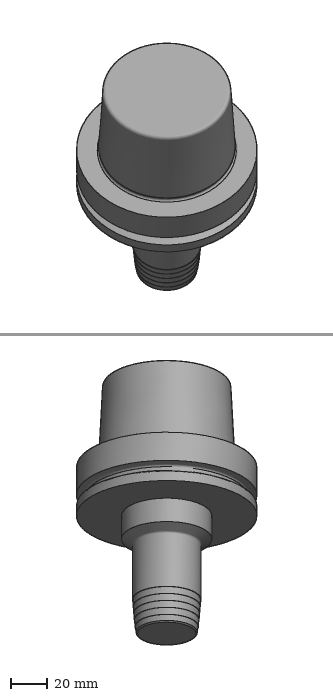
import cadquery as cq

total_height = 149.9
flange_top = 100.0
flange_bottom = 70.9
groove_upper_edge = 83.0
groove_upper_floor = 81.8
groove_lower_floor = 78.1
groove_lower_edge = 76.7
collar_bottom = 56.8
shank_top = 53.0
tip_top = 20.4

flange_diameter = 100.0
flange_radius = flange_diameter / 2
groove_radius = 45.7
groove_fillet = 1.0
collar_radius = flange_radius / 2
shank_radius = 19.0
shank_fillet = 1.0

tip_ring_radii = [18.7, 18.5, 18.1, 17.8, 17.4]
tip_ring_pitch = 4.0
tip_ring_step = 0.1
tip_bottom_radius = 17.0
end_chamfer = 0.7

taper_base = 102.5
taper_base_radius = 37.9
taper_top_radius = 35.5
rim_radius = 2.0

neck_radius = 37.5
neck_taper = taper_base_radius - neck_radius
neck_top = taper_base - 2 * neck_taper
relief_floor = flange_top - 0.3
relief_fillet = 1.0
relief_floor_radius = neck_radius + relief_fillet
relief_rim_radius = 39.5


def revolve_outline(outline):
    """Turn a closed (radius, height) outline about the Z axis."""
    return cq.Workplane("XZ").polyline(outline).close().revolve(360, (0, 0), (0, 1))


def tapered_tip():
    """Shank tip of slightly conical rings, each stepped in from the one above, with a chamfered end."""
    outline = [(0, tip_top)]
    for ring, radius in enumerate(tip_ring_radii):
        ring_top = tip_top - ring * tip_ring_pitch
        if ring > 0:
            outline.append((radius + tip_ring_step, ring_top))
        outline.append((radius, ring_top))
    outline += [
        (tip_bottom_radius, end_chamfer),
        (tip_bottom_radius - end_chamfer, 0),
        (0, 0),
    ]
    return revolve_outline(outline)


def shank_and_collar():
    """Straight shank, filleted into a conical shoulder under the collar."""
    body = revolve_outline([
        (0, tip_top),
        (shank_radius, tip_top),
        (shank_radius, shank_top),
        (collar_radius, collar_bottom),
        (collar_radius, flange_bottom),
        (0, flange_bottom),
    ])
    shoulder_edge = body.edges(cq.selectors.RadiusNthSelector(0)).edges(">Z")
    return shoulder_edge.fillet(shank_fillet)


def grooved_flange():
    """Flange with a V-sided groove around its rim."""
    body = revolve_outline([
        (0, flange_bottom),
        (flange_radius, flange_bottom),
        (flange_radius, groove_lower_edge),
        (groove_radius, groove_lower_floor),
        (groove_radius, groove_upper_floor),
        (flange_radius, groove_upper_edge),
        (flange_radius, flange_top),
        (0, flange_top),
    ])
    groove_floor_edges = body.edges(cq.selectors.RadiusNthSelector(0))
    return groove_floor_edges.fillet(groove_fillet)


def face_relief():
    """Material removed from the flange face around the neck."""
    return revolve_outline([
        (0, relief_floor),
        (relief_floor_radius, relief_floor),
        (relief_rim_radius, flange_top),
        (0, flange_top),
    ])


def head():
    """Tapered head on a neck that flares into the relief floor."""
    flare_end = (neck_radius, relief_floor + relief_fillet)
    profile = (
        cq.Workplane("XZ")
        .moveTo(0, relief_floor)
        .lineTo(relief_floor_radius, relief_floor)
        .radiusArc(flare_end, relief_fillet)
        .lineTo(neck_radius, neck_top)
        .lineTo(taper_base_radius, taper_base)
        .lineTo(taper_top_radius, total_height)
        .lineTo(0, total_height)
        .close()
    )
    body = profile.revolve(360, (0, 0), (0, 1))
    return body.faces(">Z").edges().fillet(rim_radius)


flange = grooved_flange().cut(face_relief())
result = tapered_tip().union(shank_and_collar()).union(flange).union(head())